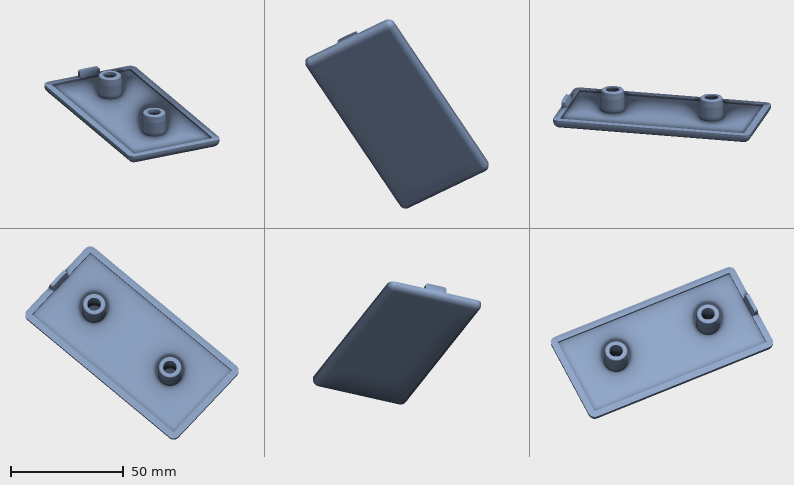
import cadquery as cq

length = 90.0
width = 45.0
plate_height = 4.0
edge_radius = 3.0
rim_width = 3.0
pocket_depth = 1.0
floor_z = plate_height - pocket_depth

total_height = 12.5
post_spacing = 45.0
post_diameter = 10.6
post_bore = 6.0
post_tip_diameter = 9.9
post_taper_start_z = 9.5
post_tip_radius = 0.5

tab_width = 9.9
tab_top_z = 7.0
tab_setback = 0.3
tab_top_thickness = 1.6
tab_corner = 1.1


def make_plate():
    plate = (
        cq.Workplane("XY")
        .box(length, width, plate_height, centered=(True, True, False))
        .edges("|Z").fillet(edge_radius)
        .faces("<Z").edges().fillet(edge_radius)
    )
    pocket = (
        cq.Workplane("XY", origin=(0, 0, floor_z))
        .rect(length - 2 * rim_width, width - 2 * rim_width)
        .extrude(pocket_depth)
    )
    return plate.cut(pocket)


def make_post(center_x):
    """Revolve half the post's wall section about its own vertical axis."""
    post = (
        cq.Workplane("XZ", origin=(center_x, 0, 0))
        .moveTo(post_bore / 2, floor_z)
        .lineTo(post_diameter / 2, floor_z)
        .lineTo(post_diameter / 2, post_taper_start_z)
        .lineTo(post_tip_diameter / 2, total_height)
        .lineTo(post_bore / 2, total_height)
        .close()
        .revolve(360, (0, 0, 0), (0, 1, 0))
    )
    outer_tip_edge = post.faces(">Z").edges(cq.selectors.RadiusNthSelector(-1))
    return outer_tip_edge.fillet(post_tip_radius)


def make_tab():
    outer_x = -length / 2 + tab_setback
    inner_top_x = outer_x + tab_top_thickness
    inner_base_x = -length / 2 + rim_width
    tab = (
        cq.Workplane("XZ")
        .moveTo(outer_x, floor_z)
        .lineTo(inner_base_x, floor_z)
        .lineTo(inner_base_x, plate_height)
        .lineTo(inner_top_x, tab_top_z)
        .lineTo(outer_x, tab_top_z)
        .close()
        .extrude(tab_width / 2, both=True)
    )
    return tab.faces(">Z").edges("|X").fillet(tab_corner)


result = make_plate().union(make_tab())
for center_x in (-post_spacing / 2, post_spacing / 2):
    result = result.union(make_post(center_x))